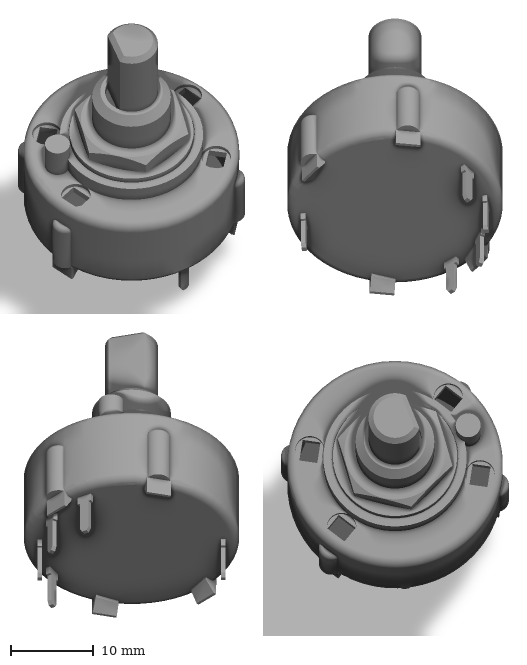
import cadquery as cq
import math

housing_bottom = 5.25
housing_top = 15.8
collar_top = 17.83
washer_seat = 17.9
nut_bottom = 18.4
nut_top = 20.8
locating_post_top = 19.8
bushing_top = 25.8
shaft_top = 35.3

housing_diameter = 26.0
housing_flat_diameter = 24.0
housing_edge_radius = (housing_diameter - housing_flat_diameter) / 2
cavity_diameter = housing_flat_diameter
cavity_bottom = housing_bottom + housing_edge_radius
cavity_top = 14.4
collar_diameter = 17.3
groove_outer_diameter = 15.3
groove_depth = 0.35
seat_diameter = 15.0
spigot_diameter = 10.25

washer_outer_diameter = seat_diameter
washer_inner_diameter = 10.3

bushing_diameter = 9.5
bushing_chamfer = 1.0
nut_corner_diameter = 14.25
nut_face_diameter = 12.2
nut_chamfer_angle = 30
nut_turn = -5.5
shaft_diameter = 6.4
shaft_chamfer = 0.6
shaft_flat_offset = 2.3
shaft_flat_sink = 1.0

locating_post_diameter = 3.0
locating_post_offset = 9.5

clip_angle = 60
rib_diameter = 3.0
rib_center_radius = 12.4
rib_bottom = 5.8
rib_top = 12.8
rib_top_fillet = 0.6
clip_width = rib_diameter
clip_outer_radius = 12.92
clip_tip_thickness = 0.35
clip_hook_long_side = 1.75
clip_hook_short_side = 1.2
clip_bottom = 3.6
clip_hook_top = 4.9
pocket_center_radius = 10.38
pocket_diameter = 3.55
pocket_depth = 0.5
opening_width = 2.6
opening_length = 2.2

terminal_angles = (15, 165, 195, 225, 255)
terminal_circle_radius = 11.1
terminal_thickness = 0.55
terminal_width = 1.2
terminal_shoulder_width = 1.85
terminal_shoulder_bottom = 4.27
terminal_tip_width = 0.6
terminal_tip_height = 0.5


def cylinder(diameter, bottom, top):
    return cq.Workplane("XY").workplane(offset=bottom).circle(diameter / 2).extrude(top - bottom)


def in_each_quadrant(feature):
    """The feature at the clip angle, and its mirror images in the other three quadrants."""
    placed = feature.rotate((0, 0, 0), (0, 0, 1), clip_angle)
    pair = placed.union(placed.mirror("YZ"))
    return pair.union(pair.mirror("XZ"))


def make_drum():
    """Round-edged drum with a collar, a narrow groove around the washer seat, and a spigot."""
    drum = cylinder(housing_diameter, housing_bottom, housing_top)
    drum = drum.edges("%CIRCLE").fillet(housing_edge_radius)
    collar = cylinder(collar_diameter, housing_top, collar_top)
    groove_floor = collar_top - groove_depth
    groove = cylinder(groove_outer_diameter, groove_floor, collar_top)
    seat = cylinder(seat_diameter, groove_floor, washer_seat)
    spigot = cylinder(spigot_diameter, washer_seat, nut_bottom)
    return drum.union(collar).cut(groove).union(seat).union(spigot)


def make_bushing():
    return cylinder(bushing_diameter, nut_bottom, bushing_top).faces(">Z").chamfer(bushing_chamfer)


def make_nut():
    """Hexagon nut whose corners are turned down to a cone at both ends."""
    corner_radius = nut_corner_diameter / 2
    face_radius = nut_face_diameter / 2
    corner_drop = (corner_radius - face_radius) * math.tan(math.radians(nut_chamfer_angle))
    hexagon = (
        cq.Workplane("XY")
        .workplane(offset=nut_bottom)
        .polygon(6, nut_corner_diameter)
        .extrude(nut_top - nut_bottom)
        .rotate((0, 0, 0), (0, 0, 1), nut_turn)
    )
    turned_blank = (
        cq.Workplane("XZ")
        .moveTo(0, nut_bottom)
        .lineTo(face_radius, nut_bottom)
        .lineTo(corner_radius, nut_bottom + corner_drop)
        .lineTo(corner_radius, nut_top - corner_drop)
        .lineTo(face_radius, nut_top)
        .lineTo(0, nut_top)
        .close()
        .revolve(360, (0, 0, 0), (0, 1, 0))
    )
    return hexagon.intersect(turned_blank)


def make_flat_clearance(bottom):
    """Segment of the shaft circle on the -Y side of the shaft flat, from a height to the top."""
    segment = cylinder(shaft_diameter, bottom, shaft_top)
    kept_side = (
        cq.Workplane("XY")
        .workplane(offset=bottom)
        .center(0, shaft_diameter / 2 - shaft_flat_offset)
        .rect(shaft_diameter, shaft_diameter)
        .extrude(shaft_top - bottom)
    )
    return segment.cut(kept_side)


def make_shaft():
    """D-shaped shaft with its top edge chamfered all round."""
    round_bar = cylinder(shaft_diameter, nut_top, shaft_top)
    d_bar = round_bar.cut(make_flat_clearance(nut_top))
    return d_bar.faces(">Z").chamfer(shaft_chamfer)


def make_locating_post():
    return cylinder(locating_post_diameter, housing_top, locating_post_top).translate(
        (0, -locating_post_offset, 0)
    )


def make_ribs():
    """Upright round ribs on the drum wall, rounded over at the top."""
    rib = cylinder(rib_diameter, rib_bottom, rib_top).faces(">Z").edges().fillet(rib_top_fillet)
    return in_each_quadrant(rib.translate((rib_center_radius, 0, 0)))


def make_clips():
    """Clip feet below the ribs, each with a hook that widens inward up to the drum."""
    half_width = clip_width / 2
    foot_corners = [
        (clip_outer_radius, -half_width),
        (clip_outer_radius, half_width),
        (clip_outer_radius - clip_tip_thickness, half_width),
        (clip_outer_radius - clip_tip_thickness, -half_width),
    ]
    hook_corners = [
        (clip_outer_radius, -half_width),
        (clip_outer_radius, half_width),
        (clip_outer_radius - clip_hook_short_side, half_width),
        (clip_outer_radius - clip_hook_long_side, -half_width),
    ]
    foot = (
        cq.Workplane("XY")
        .workplane(offset=clip_bottom)
        .polyline(foot_corners)
        .close()
        .workplane(offset=clip_hook_top - clip_bottom)
        .polyline(hook_corners)
        .close()
        .loft(ruled=True)
    )
    root = (
        cq.Workplane("XY")
        .workplane(offset=clip_hook_top)
        .polyline(hook_corners)
        .close()
        .extrude(rib_bottom - clip_hook_top)
    )
    return in_each_quadrant(foot.union(root))


def make_openings():
    """Shallow round pockets, each with a rectangular opening through to the drum cavity."""
    pocket_floor = housing_top - pocket_depth
    pocket = cylinder(pocket_diameter, pocket_floor, housing_top)
    opening = (
        cq.Workplane("XY")
        .workplane(offset=cavity_top)
        .rect(opening_length, opening_width)
        .extrude(housing_top - cavity_top)
    )
    return in_each_quadrant(pocket.union(opening).translate((pocket_center_radius, 0, 0)))


def make_terminal(angle):
    """Flat shouldered terminal blade with a tapered tip, rooted in the drum floor."""
    half_outline = [
        (terminal_tip_width / 2, 0),
        (terminal_width / 2, terminal_tip_height),
        (terminal_width / 2, terminal_shoulder_bottom),
        (terminal_shoulder_width / 2, terminal_shoulder_bottom),
        (terminal_shoulder_width / 2, cavity_bottom),
    ]
    other_half = [(-across, height) for across, height in reversed(half_outline)]
    return (
        cq.Workplane("YZ")
        .polyline(half_outline + other_half)
        .close()
        .extrude(terminal_thickness / 2, both=True)
        .translate((terminal_circle_radius, 0, 0))
        .rotate((0, 0, 0), (0, 0, 1), angle)
    )


def make_switch():
    """Complete switch: drum, bushing, nut, shaft, post, clips and terminals in one solid."""
    switch = make_drum().union(make_ribs()).union(make_clips())
    switch = switch.cut(cylinder(cavity_diameter, cavity_bottom, cavity_top)).cut(make_openings())
    switch = switch.union(make_bushing()).union(make_nut())
    switch = switch.cut(make_flat_clearance(bushing_top - shaft_flat_sink))
    switch = switch.union(make_shaft()).union(make_locating_post())
    for angle in terminal_angles:
        switch = switch.union(make_terminal(angle))
    return switch.solids()


def make_washer():
    """Plain washer on the seat, held under the nut."""
    disc = cylinder(washer_outer_diameter, washer_seat, nut_bottom)
    return disc.cut(cylinder(washer_inner_diameter, washer_seat, nut_bottom)).solids()


switch = make_switch()
washer = make_washer()
result = cq.Compound.makeCompound([switch.val(), washer.val()])